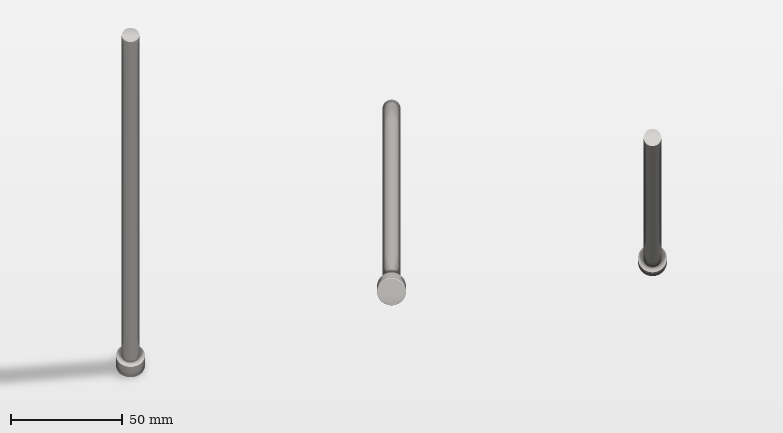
import cadquery as cq

total_length = 250.0
shaft_diameter = 8.0
head_diameter = 13.0
head_height = 8.0
neck_fillet_radius = 0.3
head_chamfer = 0.2


def make_head():
    """Cylindrical head on the XY plane, with its lower rim chamfered."""
    head = cq.Workplane("XY").circle(head_diameter / 2).extrude(head_height)
    return head.faces("<Z").edges().chamfer(head_chamfer)


def make_shaft():
    """Straight round shaft rising from the top of the head to the full length."""
    shaft_length = total_length - head_height
    return (
        cq.Workplane("XY")
        .workplane(offset=head_height)
        .circle(shaft_diameter / 2)
        .extrude(shaft_length)
    )


def fillet_neck(pin):
    """Round the inner corner where the shaft meets the top of the head."""
    neck_edge = cq.selectors.RadiusNthSelector(0)
    head_top = pin.faces(cq.selectors.NearestToPointSelector((0, 0, head_height)))
    return head_top.edges(neck_edge).fillet(neck_fillet_radius)


result = fillet_neck(make_head().union(make_shaft()))